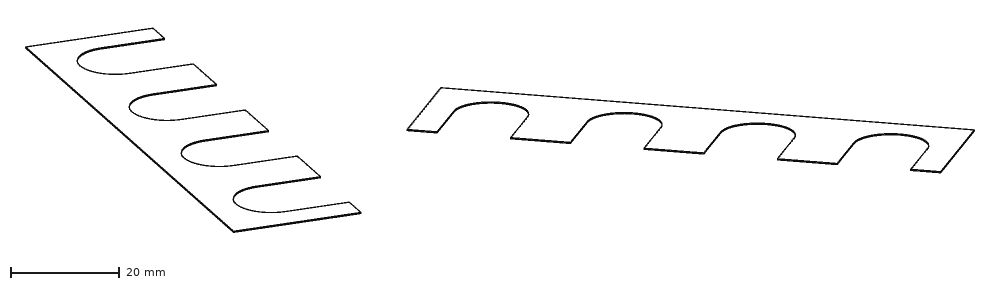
import cadquery as cq

length = 101.6
depth = 25.4
thickness = 0.25
slot_count = 4
slot_width = 14.0
web = 5.7

slot_pitch = length / slot_count
slot_radius = slot_width / 2
slot_center_y = web + slot_radius


def slot_cutter(center_x):
    """U-shaped slot with a round bottom, open at the +Y edge."""
    left = center_x - slot_radius
    right = center_x + slot_radius
    return (
        cq.Workplane("XY")
        .moveTo(left, depth)
        .lineTo(left, slot_center_y)
        .threePointArc((center_x, web), (right, slot_center_y))
        .lineTo(right, depth)
        .close()
        .extrude(thickness)
    )


result = cq.Workplane("XY").box(length, depth, thickness, centered=False)

for index in range(slot_count):
    result = result.cut(slot_cutter((index + 0.5) * slot_pitch))